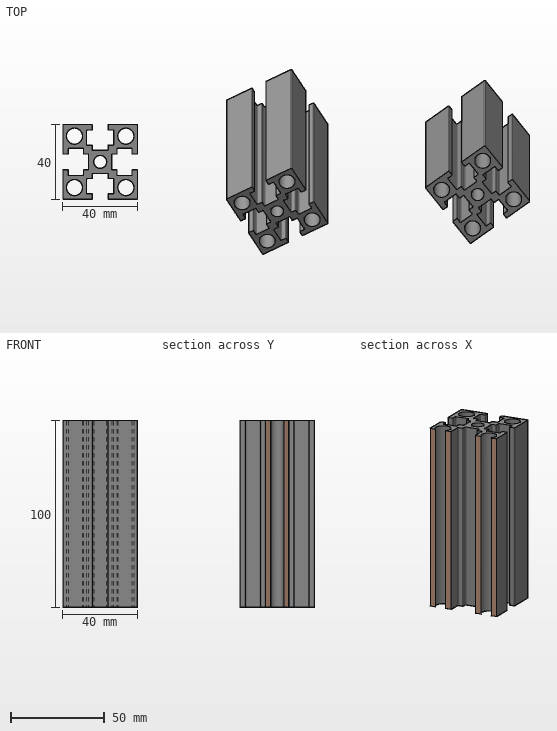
import cadquery as cq

side = 40.0
length = 100.0
core_width = 12.5

slot_width = 8.4
pocket_width = 14.5
lip_thickness = 3.0
pocket_depth = 11.0
slot_depth = (side - core_width) / 2

corner_bore_diameter = 8.5
corner_bore_pitch = 27.5
core_bore_diameter = 6.8

outer_radius = 0.5
slot_radius = 0.3

slot_count = 4
OUTER_CORNERS = ">(1,1,0) or <(1,1,0) or >(1,-1,0) or <(1,-1,0)"


def slot_box(width, near_depth, far_depth):
    """Full-length box centred on the +X face, spanning two depths below that face."""
    centre = side / 2 - (near_depth + far_depth) / 2
    return cq.Workplane("XY").center(centre, 0).rect(far_depth - near_depth, width).extrude(length)


def t_slot(index):
    """Sharp-edged T-slot cutter, turned from the +X face to the indexed side face."""
    channel = slot_box(slot_width, 0, slot_depth)
    pocket = slot_box(pocket_width, lip_thickness, pocket_depth)
    turn = index * 360 / slot_count
    return channel.union(pocket).rotate((0, 0, 0), (0, 0, 1), turn)


def rounded_profile():
    """Slotted bar with every lengthwise edge rounded."""
    bar = cq.Workplane("XY").rect(side, side).extrude(length)
    for index in range(slot_count):
        bar = bar.cut(t_slot(index))
    bar = bar.edges("|Z").edges(f"not ({OUTER_CORNERS})").fillet(slot_radius)
    return bar.edges("|Z").edges(OUTER_CORNERS).fillet(outer_radius)


def bores():
    """Through bores: one in each corner block and one along the core."""
    corner_bores = (
        cq.Workplane("XY")
        .rect(corner_bore_pitch, corner_bore_pitch, forConstruction=True)
        .vertices()
        .circle(corner_bore_diameter / 2)
        .extrude(length)
    )
    core_bore = cq.Workplane("XY").circle(core_bore_diameter / 2).extrude(length)
    return corner_bores.union(core_bore)


result = rounded_profile().cut(bores())